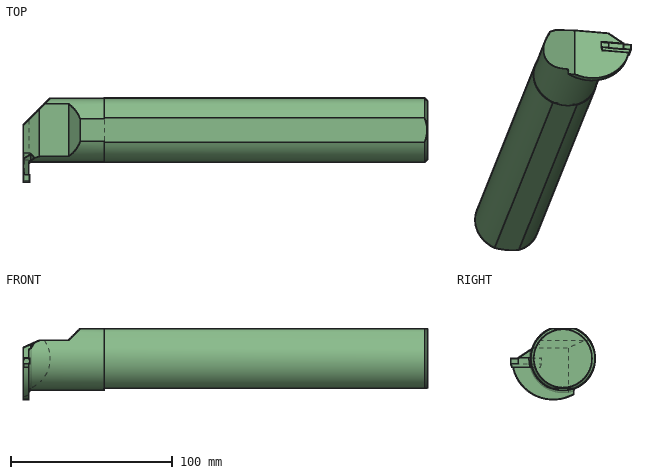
import cadquery as cq
import math

length = 250.0
shank_radius = 20.0
flat_height = 18.5
end_chamfer = 2.0

head_length = 50.0
head_radius = 19.7
step_height = 11.2
step_start = 28.0
nose_length = 10.0
nose_height = 6.7
corner_cut = 16.7

blade_radius = 25.5
blade_center_y = -6.0
blade_thickness = 3.5
blade_fillet = 1.2

insert_front_y = -32.2
insert_length = 18.7
insert_back_y = insert_front_y + insert_length
insert_height = 5.5
insert_relief = 0.7
tip_length = 4.7
tip_width = 4.0
tip_depth = 3.2
neck_length = insert_length - 2 * tip_length
neck_front_y = insert_front_y + tip_length
neck_rise = 0.5
neck_inset = 0.7
base_inset = 0.2

pocket_depth = 4.7
pocket_lean = 45.0
pocket_floor_angle = 33.0

margin = 12.5


def make_shank():
    shank = (
        cq.Workplane("YZ", origin=(head_length, 0, 0))
        .circle(shank_radius)
        .extrude(length - head_length)
        .faces(">X")
        .chamfer(end_chamfer)
    )
    between_flats = cq.Workplane("XY").box(3 * length, 4 * shank_radius, 2 * flat_height)
    return shank.intersect(between_flats)


def make_head():
    """Round stretch between the blade and the shank."""
    return cq.Workplane("YZ").circle(head_radius).extrude(head_length)


def make_blade():
    return cq.Workplane("YZ").center(blade_center_y, 0).circle(blade_radius).extrude(blade_thickness)


def make_blade_fillet():
    """Concave ring between the back of the blade and the round of the head."""
    ring_end = blade_thickness + blade_fillet
    ring_top = head_radius + blade_fillet
    arc_reach = blade_fillet * (1 - math.sqrt(0.5))
    ring = (
        cq.Workplane("XY")
        .moveTo(blade_thickness, 0)
        .lineTo(blade_thickness, ring_top)
        .threePointArc((blade_thickness + arc_reach, head_radius + arc_reach), (ring_end, head_radius))
        .lineTo(ring_end, 0)
        .close()
        .revolve(360, (0, 0, 0), (1, 0, 0))
    )
    behind_blade = cq.Workplane("YZ").center(blade_center_y, 0).circle(blade_radius).extrude(ring_end)
    return ring.intersect(behind_blade)


def make_top_cut():
    """Everything above the nose slope, the low step, its 45-degree ramp and the top flat."""
    step_end = step_start + flat_height - step_height
    roof = flat_height + margin
    return (
        cq.Workplane("XZ")
        .polyline([
            (-margin, nose_height - margin * (step_height - nose_height) / nose_length),
            (nose_length, step_height),
            (step_start, step_height),
            (step_end, flat_height),
            (length, flat_height),
            (length, roof),
            (-margin, roof),
        ])
        .close()
        .extrude(2 * length, both=True)
    )


def make_corner_cut():
    """Upright 45-degree cut across the front corner on the +Y side."""
    return (
        cq.Workplane("XY")
        .polyline([
            (-margin, shank_radius - corner_cut - margin),
            (corner_cut + margin, shank_radius + margin),
            (-margin, shank_radius + margin),
        ])
        .close()
        .extrude(4 * shank_radius, both=True)
    )


def make_box(x_range, y_range, z_range):
    starts = (x_range[0], y_range[0], z_range[0])
    sizes = (x_range[1] - x_range[0], y_range[1] - y_range[0], z_range[1] - z_range[0])
    return cq.Workplane("XY").box(*sizes, centered=False).translate(starts)


def make_pocket():
    """Prism along the slanted floor, drawn level and then tilted about the floor's outer end."""
    top_depth = pocket_depth + margin * math.tan(math.radians(pocket_lean))
    return (
        cq.Workplane("XZ")
        .polyline([(-margin, 0), (pocket_depth, 0), (top_depth, margin), (-margin, margin)])
        .close()
        .extrude(-3 * margin)
        .rotate((0, 0, 0), (1, 0, 0), pocket_floor_angle)
        .translate((0, neck_front_y, neck_rise))
    )


def make_tip_clearance():
    """Open space above the front tip."""
    return make_box((-margin, margin), (neck_front_y - margin, neck_front_y), (0, margin))


def make_seat():
    """Slot through the blade that the insert sits in."""
    return (
        cq.Workplane("YZ")
        .polyline([
            (insert_front_y, 0),
            (neck_front_y, 0),
            (neck_front_y, neck_rise),
            (insert_back_y, neck_rise),
            (insert_back_y, -tip_depth),
            (insert_back_y - insert_relief, -insert_height),
            (insert_front_y + insert_relief, -insert_height),
            (insert_front_y, -tip_depth),
        ])
        .close()
        .extrude(blade_thickness)
    )


def make_insert_base():
    return (
        cq.Workplane("YZ", origin=(base_inset, 0, 0))
        .polyline([
            (insert_front_y, -tip_depth),
            (insert_back_y, -tip_depth),
            (insert_back_y - insert_relief, -insert_height),
            (insert_front_y + insert_relief, -insert_height),
        ])
        .close()
        .extrude(blade_thickness - base_inset)
    )


def make_insert():
    neck = make_box(
        (neck_inset, blade_thickness),
        (neck_front_y, neck_front_y + neck_length),
        (-tip_depth, neck_rise),
    )
    insert = make_insert_base().union(neck)
    for start_y in (insert_front_y, insert_back_y - tip_length):
        tip = make_box((0, tip_width), (start_y, start_y + tip_length), (-tip_depth, 0))
        insert = insert.union(tip)
    return insert


def make_holder(insert):
    holder = make_shank().union(make_head()).union(make_blade()).union(make_blade_fillet())
    holder = holder.cut(make_top_cut()).cut(make_corner_cut())
    holder = holder.cut(make_pocket()).cut(make_tip_clearance())
    return holder.cut(make_seat()).cut(insert)


insert = make_insert()
holder = make_holder(insert)

result = cq.Compound.makeCompound([holder.solids().val(), insert.solids().val()])